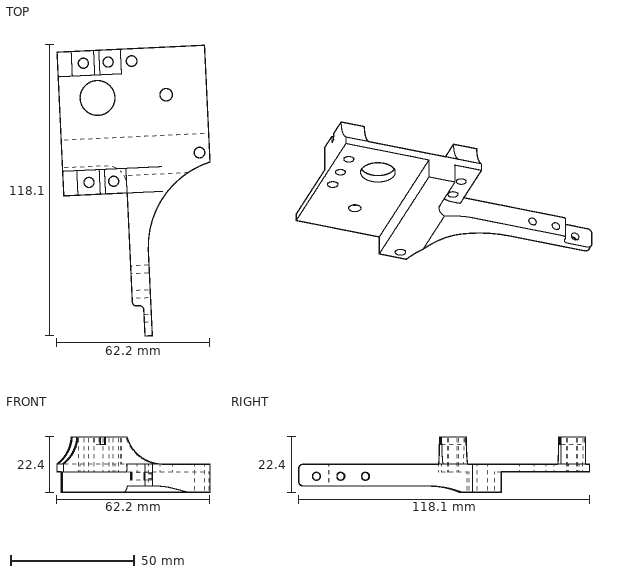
import cadquery as cq
import math

TURN = 2.7

PLATE_W = 60.0
PLATE_L = 58.5
SIDE_L = 47.5
PLATE_TOP = 11.5
PLATE_T = 3.2
PLATE_BOTTOM = PLATE_TOP - PLATE_T

BAND_BACK = 35.8
BAND_FRONT = 47.0
ARM_BLEND_R = 8.0

ARM_LEFT = 25.7
ARM_RIGHT = 33.3
TIP_LEFT = 30.2
STEP_Y = 104.4
TIP_Y = 116.8
STEP_R = 1.7
TIP_R = 2.0
SWEEP_R = 36.0
ARM_BOTTOM = 2.5
UNDERSIDE_R = 30.0
UNDERSIDE_END = 63.3
PIN_D = 3.2
PIN_Z = 6.5
PIN_PLACES = [89.6, 99.7, 109.6]

POST_L = 10.0
POST_TOP = 22.4
POST_LEFT = 5.8
POST_RIGHT = ARM_LEFT
POST_R = 15.0
SLOT_LEFT = 14.9
SLOT_W = 2.1
SLOT_DEPTH = 3.0
POST_BACKS = [0, PLATE_L - POST_L]
POST_HOLES = [10.5, 20.5]
POST_HOLE_D = 4.0

PLATE_HOLES = [
    (30.1, 5.1, 4.3),
    (43.5, 19.4, 5.0),
    (55.9, 43.5, 4.3),
    (15.6, 19.4, 14.0),
]

SWEEP_X = ARM_RIGHT + SWEEP_R
SWEEP_Y = SIDE_L + math.sqrt(SWEEP_R**2 - (SWEEP_X - PLATE_W)**2)


def add_sweep(outline):
    """Draw the concave edge from the arm to the right plate corner."""
    return outline.radiusArc((PLATE_W, -SIDE_L), SWEEP_R)


def make_plate():
    outline = (
        cq.Workplane("XY", origin=(0, 0, PLATE_BOTTOM))
        .lineTo(0, -PLATE_L)
        .lineTo(ARM_RIGHT, -PLATE_L)
        .lineTo(ARM_RIGHT, -SWEEP_Y)
    )
    return add_sweep(outline).lineTo(PLATE_W, 0).close().extrude(PLATE_T)


def make_band_and_arm():
    outline = (
        cq.Workplane("XY")
        .moveTo(0, -BAND_BACK)
        .lineTo(0, -BAND_FRONT)
        .lineTo(ARM_LEFT - ARM_BLEND_R, -BAND_FRONT)
        .radiusArc((ARM_LEFT, -BAND_FRONT - ARM_BLEND_R), ARM_BLEND_R)
        .lineTo(ARM_LEFT, -STEP_Y)
        .lineTo(TIP_LEFT, -STEP_Y)
        .lineTo(TIP_LEFT, -TIP_Y)
        .lineTo(ARM_RIGHT, -TIP_Y)
        .lineTo(ARM_RIGHT, -SWEEP_Y)
    )
    body = add_sweep(outline).lineTo(PLATE_W, -BAND_BACK).close().extrude(PLATE_TOP)
    step_box = cq.selectors.BoxSelector(
        (ARM_LEFT - STEP_R, -STEP_Y - STEP_R, 0),
        (TIP_LEFT + STEP_R, -STEP_Y + STEP_R, PLATE_TOP),
    )
    body = body.edges("|Z").edges(step_box).fillet(STEP_R)
    body = body.cut(make_underside())
    return body.faces("<Y").edges("|X").fillet(TIP_R)


def make_underside():
    """Space below the arm, curving down to the bottom of the band."""
    run = math.sqrt(UNDERSIDE_R**2 - (UNDERSIDE_R - ARM_BOTTOM)**2)
    return (
        cq.Workplane("YZ")
        .moveTo(-UNDERSIDE_END + run, 0)
        .radiusArc((-UNDERSIDE_END, ARM_BOTTOM), -UNDERSIDE_R)
        .lineTo(-TIP_Y, ARM_BOTTOM)
        .lineTo(-TIP_Y, 0)
        .close()
        .extrude(PLATE_W)
    )


def make_post(back, has_ramp):
    profile = (
        cq.Workplane("XZ", origin=(0, -back, 0))
        .moveTo(0, PLATE_BOTTOM)
        .lineTo(0, PLATE_TOP)
        .radiusArc((POST_LEFT, POST_TOP), -POST_R)
        .lineTo(POST_RIGHT, POST_TOP)
    )
    foot = POST_RIGHT
    if has_ramp:
        rise = POST_TOP - PLATE_TOP
        foot += math.sqrt(POST_R**2 - (POST_R - rise)**2)
        profile = profile.radiusArc((foot, PLATE_TOP), -POST_R)
    post = profile.lineTo(foot, PLATE_BOTTOM).close().extrude(POST_L)
    slot = cq.Workplane("XY").box(SLOT_W, POST_L, SLOT_DEPTH, centered=False)
    return post.cut(slot.translate((SLOT_LEFT, -back - POST_L, POST_TOP - SLOT_DEPTH)))


def drill_down(solid, x, from_back, diameter):
    return solid.cut(cq.Workplane("XY").center(x, -from_back).circle(diameter / 2).extrude(POST_TOP))


body = make_plate().union(make_band_and_arm())
for post_back in POST_BACKS:
    body = body.union(make_post(post_back, has_ramp=post_back > 0))

for post_back in POST_BACKS:
    for hole_x in POST_HOLES:
        body = drill_down(body, hole_x, post_back + POST_L / 2, POST_HOLE_D)

for hole_x, hole_y, hole_d in PLATE_HOLES:
    body = drill_down(body, hole_x, hole_y, hole_d)

pins = (
    cq.Workplane("YZ")
    .pushPoints([(-place, PIN_Z) for place in PIN_PLACES])
    .circle(PIN_D / 2)
    .extrude(PLATE_W)
)
result = body.cut(pins).rotate((0, 0, 0), (0, 0, 1), TURN)